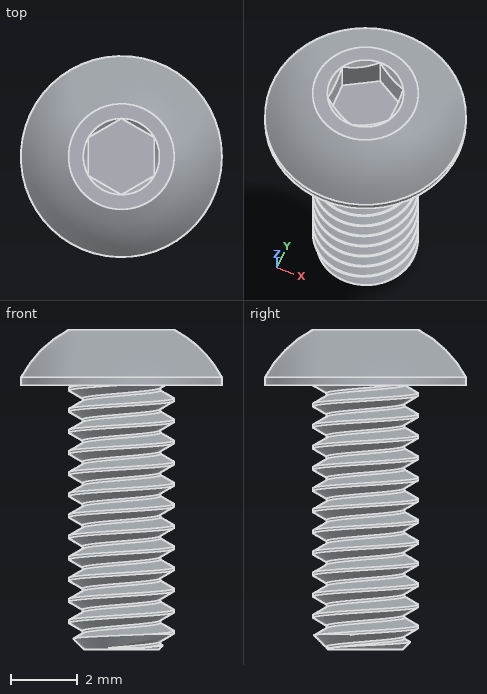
import cadquery as cq
import math

INCH = 25.4

major_radius = 0.125 * INCH / 2
pitch = INCH / 40
shank_length = 5 / 16 * INCH
flank_angle = math.radians(30)
crest_width = pitch / 8
root_width = pitch / 8
thread_depth = (pitch - crest_width - root_width) / 2 / math.tan(flank_angle)
root_radius = major_radius - thread_depth
tip_radius = 1.125
crest_drop = 0.115

overall_height = 9.61
head_radius = 6.05 / 2
head_height = overall_height - shank_length
rim_height = 0.237
head_flat_radius = major_radius

socket_width = 5 / 64 * INCH
socket_corner_radius = socket_width / math.sqrt(3)
socket_depth = 1.16


def make_head():
    """Spherical dome, centred on the axis, above a short cylindrical rim."""
    sphere_z = (
        head_flat_radius**2 + head_height**2 - head_radius**2 - rim_height**2
    ) / (2 * (head_height - rim_height))
    sphere_radius = math.hypot(head_radius, rim_height - sphere_z)
    mid_z = (rim_height + head_height) / 2
    mid_radius = math.sqrt(sphere_radius**2 - (mid_z - sphere_z) ** 2)
    return (
        cq.Workplane("XZ")
        .lineTo(head_radius, 0)
        .lineTo(head_radius, rim_height)
        .threePointArc((mid_radius, mid_z), (head_flat_radius, head_height))
        .lineTo(0, head_height)
        .close()
        .revolve(360, (0, 0), (0, 1))
    )


def make_socket():
    """Hexagonal pocket with corners on the Y axis and a 45 degree lead-in cone."""
    hexagon = (
        cq.Workplane("XY", origin=(0, 0, head_height))
        .transformed(rotate=(0, 0, 90))
        .polygon(6, 2 * socket_corner_radius)
        .extrude(-socket_depth)
    )
    lead_in = cq.Workplane(
        cq.Solid.makeCone(
            socket_corner_radius,
            0,
            socket_corner_radius,
            pnt=cq.Vector(0, 0, head_height),
            dir=cq.Vector(0, 0, -1),
        )
    )
    return hexagon.union(lead_in)


def make_thread_ridge(start_z, turns):
    """Right-hand helical ridge whose crest starts on the +X side at start_z."""
    turn_gap = root_width / 3
    base_half = (pitch - turn_gap) / 2
    base_radius = root_radius - (root_width - turn_gap) / 2 / math.tan(flank_angle)
    crest_half = crest_width / 2
    helix = cq.Wire.makeHelix(pitch, turns * pitch, root_radius, center=cq.Vector(0, 0, start_z))
    profile = (
        cq.Workplane("XZ")
        .moveTo(base_radius, start_z - base_half)
        .lineTo(major_radius, start_z - crest_half)
        .lineTo(major_radius, start_z + crest_half)
        .lineTo(base_radius, start_z + base_half)
        .close()
    )
    return profile.sweep(cq.Workplane(helix), isFrenet=True)


def make_shank_envelope():
    """Shank space from the head to the tip, wider than the thread above the 45 degree tip cone."""
    cone_height = 2 * (major_radius - tip_radius)
    outer_radius = tip_radius + cone_height
    return (
        cq.Workplane("XZ")
        .moveTo(0, -shank_length)
        .lineTo(tip_radius, -shank_length)
        .lineTo(outer_radius, -shank_length + cone_height)
        .lineTo(outer_radius, 0)
        .lineTo(0, 0)
        .close()
        .revolve(360, (0, 0), (0, 1))
    )


def make_shank():
    """Core and thread made too long at both ends, then trimmed to the envelope."""
    turns = math.ceil(shank_length / pitch) + 2
    start_z = -crest_drop + pitch / 2 - (turns - 1) * pitch
    ridge = make_thread_ridge(start_z, turns)
    core_overrun = 2 * pitch
    core_bottom = start_z - core_overrun
    core_length = turns * pitch + 2 * core_overrun
    core = cq.Workplane("XY", origin=(0, 0, core_bottom)).circle(root_radius).extrude(core_length)
    return core.union(ridge).intersect(make_shank_envelope())


result = make_head().cut(make_socket()).union(make_shank())